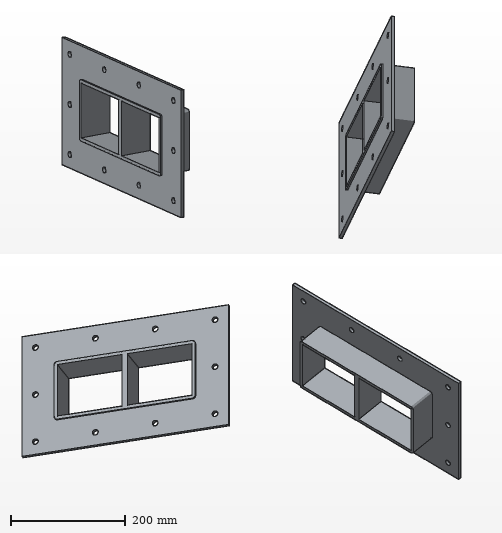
import cadquery as cq

plate_length = 383.0
plate_height = 233.0
plate_thickness = 6.0

sleeve_depth = 60.0
front_projection = 3.0
window_width = 120.0
window_height = 100.0
wall = 6.0
divider = 10.0
corner_radius = 6.0
sleeve_length = 2 * window_width + divider + 2 * wall
sleeve_height = window_height + 2 * wall

hole_diameter = 10.5
hole_inset = 25.0
holes_per_row = 4
holes_per_column = 3
hole_pitch_x = (plate_length - 2 * hole_inset) / (holes_per_row - 1)
hole_pitch_z = (plate_height - 2 * hole_inset) / (holes_per_column - 1)


def block(length, depth, height, front_y):
    """Box centred on X and Z whose front face lies at front_y."""
    return (
        cq.Workplane("XY")
        .box(length, depth, height, centered=(True, False, True))
        .translate((0, front_y, 0))
    )


def bolt_hole_centres():
    """Grid positions on the border of the plate only."""
    centres = []
    for column in range(holes_per_row):
        for row in range(holes_per_column):
            on_side = column in (0, holes_per_row - 1)
            on_top_or_bottom = row in (0, holes_per_column - 1)
            if on_side or on_top_or_bottom:
                x = column * hole_pitch_x + hole_inset - plate_length / 2
                z = row * hole_pitch_z + hole_inset - plate_height / 2
                centres.append((x, z))
    return centres


plate = block(plate_length, plate_thickness, plate_height, front_projection)
bolt_holes = (
    cq.Workplane("XZ")
    .pushPoints(bolt_hole_centres())
    .circle(hole_diameter / 2)
    .extrude(-sleeve_depth)
)
sleeve = block(sleeve_length, sleeve_depth, sleeve_height, 0).edges("|Y").fillet(corner_radius)

result = plate.cut(bolt_holes).union(sleeve)

window = block(window_width, sleeve_depth, window_height, 0)
window_offset = (window_width + divider) / 2
for side in (-1, 1):
    result = result.cut(window.translate((side * window_offset, 0, 0)))